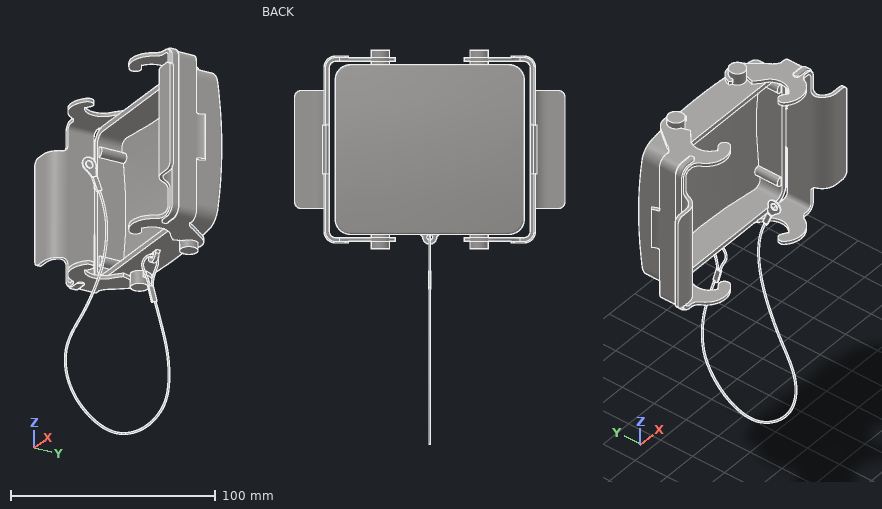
import cadquery as cq
import math


COVER_WIDTH = 92.7
COVER_HEIGHT = 83.2
COVER_DEPTH = 22.8
WALL = 2.9
BACK_THICKNESS = 3.0
CORNER_RADIUS = 7.7
CROWN_RADIUS = 264.5
BACK_EDGE_FILLET = 1.2

GUIDE_RADIUS = 2.7
GUIDE_Z = 29.5
GUIDE_SETBACK = 0.8
GUIDE_X = 43.2

PIN_DIAMETER = 9.0
PIN_RADIUS = PIN_DIAMETER / 2
PIN_X = 24.1
PIN_Y = 12.5
PIN_REACH = 48.7

EYELET_RADIUS = 3.5
EYELET_Z = -42.9
EYELET_HOLE_RADIUS = 1.4
EYELET_ROOT_HALF_WIDTH = 4.6
EYELET_Y = 5.6
EYELET_THICKNESS = 2.1

SHEET = 2.0
LEVER_X = 51.0
LEVER_Z = 45.0
BEND_RADIUS = 4.8
SHOULDER_X = 44.2
WEB_TOP_Y = 1.4
WEB_BOTTOM_Y = -13.5
BEAD_Y = -10.6
BEAD_WIDTH = 3.7
BEAD_HEIGHT = 0.8
BEAD_FILLET = 0.5
BEAD_INNER_X = 39.8
HANDLE_END_X = 66.2
HANDLE_HALF_WIDTH = 29.0
HANDLE_BEND = 8.0
HANDLE_CORNER = 3.5
HANDLE_ROOT_FILLET = 3.0
LIP_HALF_WIDTH = 12.0
LIP_ROOT_FILLET = 1.0
LIP_BEND = 7.5
LIP_ANGLE = 38.0

CORD_DIAMETER = 1.0
SLEEVE_TOP = (4.8, -59.8)
SLEEVE_BOTTOM = (7.0, -67.8)
SLEEVE_WIDTH = 2.7
SLEEVE_THICKNESS = 1.2
LUG_EYE = (-29.7, -2.1)
LUG_EYE_RADIUS = 3.9
LUG_HOLE_RADIUS = 2.0
LUG_EYE_THICKNESS = 0.5
LUG_BARREL_TOP = (-26.8, -8.1)
LUG_BARREL_BOTTOM = (-24.1, -15.0)
LUG_BARREL_WIDTH = 2.7
LUG_BARREL_THICKNESS = 1.2

CORD_PATH = [
    LUG_BARREL_BOTTOM,
    (-22.5, -19.1),
    (-20.3, -29.5),
    (-20.7, -45.5),
    (-23.7, -59.8),
    (-27.2, -69.7),
    (-33.5, -84.0),
    (-42.7, -104.8),
    (-43.2, -113.1),
    (-41.3, -122.5),
    (-29.3, -138.5),
    (-15.5, -143.8),
    (-3.9, -140.7),
    (8.0, -130.1),
    (13.7, -118.5),
    (15.3, -106.0),
    (14.0, -92.3),
    (10.5, -77.6),
    (7.5, -67.8),
    (5.8, -59.8),
    (6.0, -57.0),
    (8.1, -49.0),
    (8.9, -45.5),
    (8.1, -43.2),
    (6.5, -42.9),
    (5.0, -43.0),
    (2.3, -44.8),
    (0.4, -49.5),
    (2.5, -55.0),
    (4.2, -59.8),
    (6.0, -66.8),
]


def midpoint(a, b):
    return ((a[0] + b[0]) / 2, (a[1] + b[1]) / 2)


def yz_plane(offset_x=0.0):
    return cq.Workplane("YZ", origin=(offset_x, 0, 0))


def xz_block(width, height, depth, corner_radius):
    """Rounded rectangle in XZ, extruded from Y = 0 toward +Y."""
    block = cq.Workplane("XZ").rect(width, height).extrude(-depth)
    return block.edges("|Y").fillet(corner_radius)


def domed_block(inset, crown_inset):
    """Rounded block with a spherical back, drawn in from the cover's outer surface."""
    block = xz_block(
        COVER_WIDTH - 2 * inset,
        COVER_HEIGHT - 2 * inset,
        COVER_DEPTH,
        CORNER_RADIUS - inset,
    )
    crown_centre = (0, COVER_DEPTH - CROWN_RADIUS, 0)
    dome = cq.Workplane("XY").sphere(CROWN_RADIUS - crown_inset).translate(crown_centre)
    return block.intersect(dome)


def pin(x, z_start, z_end):
    return (
        cq.Workplane("XY", origin=(x, PIN_Y, z_start))
        .circle(PIN_RADIUS)
        .extrude(z_end - z_start)
    )


def make_eyelet():
    root_z = -COVER_HEIGHT / 2 + WALL / 2
    plane = cq.Workplane("XZ", origin=(0, EYELET_Y, 0))
    root = plane.polyline([
        (-EYELET_ROOT_HALF_WIDTH, root_z),
        (EYELET_ROOT_HALF_WIDTH, root_z),
        (EYELET_ROOT_HALF_WIDTH, -COVER_HEIGHT / 2),
        (EYELET_RADIUS, EYELET_Z),
        (-EYELET_RADIUS, EYELET_Z),
        (-EYELET_ROOT_HALF_WIDTH, -COVER_HEIGHT / 2),
    ]).close().extrude(-EYELET_THICKNESS)
    ring = plane.center(0, EYELET_Z).circle(EYELET_RADIUS).extrude(-EYELET_THICKNESS)
    return root.union(ring)


def make_cover():
    shell = domed_block(0, 0).faces("%SPHERE").edges().fillet(BACK_EDGE_FILLET)
    cavity = domed_block(WALL, BACK_THICKNESS)
    for side in (-1, 1):
        for level in (-1, 1):
            guide = (
                cq.Workplane("XZ", origin=(side * GUIDE_X, GUIDE_SETBACK, level * GUIDE_Z))
                .circle(GUIDE_RADIUS)
                .extrude(-COVER_DEPTH)
            )
            cavity = cavity.cut(guide)
    cover = shell.cut(cavity)

    pin_root = COVER_HEIGHT / 2 - WALL / 2
    for x in (-PIN_X, PIN_X):
        cover = cover.union(pin(x, pin_root, PIN_REACH))
        cover = cover.union(pin(x, -PIN_REACH, -pin_root))

    eyelet_hole = (
        cq.Workplane("XZ", origin=(0, EYELET_Y, EYELET_Z))
        .circle(EYELET_HOLE_RADIUS)
        .extrude(-EYELET_THICKNESS)
    )
    eyelet = make_eyelet().cut(eyelet_hole.cut(domed_block(0, 0)))
    return cover.union(eyelet)


def u_channel(y_low, y_high, outset=0, edge_fillet=0):
    """Bent sheet: web at +X and two side plates, grown outward by outset.

    The edges of the outer surface may be rounded with edge_fillet.
    """
    def slab(x, z, radius):
        return xz_block(2 * x, 2 * z, y_high - y_low, radius).translate((0, y_low, 0))

    outer = slab(LEVER_X + outset, LEVER_Z + outset, BEND_RADIUS + outset)
    if edge_fillet:
        outer = outer.faces("<Y or >Y").edges().fillet(edge_fillet)
    inner = slab(LEVER_X - SHEET, LEVER_Z - SHEET, BEND_RADIUS - SHEET)
    keep = cq.Workplane("XY").box(
        2 * LEVER_X, 4 * LEVER_X, 4 * LEVER_Z, centered=(False, True, True)
    )
    return outer.cut(inner).intersect(keep)


def on_pin(angle):
    """Point on the pin circle at an angle in degrees."""
    a = math.radians(angle)
    return (PIN_X + PIN_RADIUS * math.cos(a), PIN_Y + PIN_RADIUS * math.sin(a))


def lever_outline():
    """Side-plate outline: hub snapped round the pin at the top, locking hook at the bottom."""
    mouth_tip_angle = 185
    mouth_neck_angle = -70
    slot_middle_angle = (mouth_tip_angle + mouth_neck_angle) / 2
    return (
        cq.Workplane("XY", origin=(0, 0, -2 * LEVER_Z))
        .moveTo(LEVER_X, WEB_TOP_Y)
        .lineTo(SHOULDER_X, WEB_TOP_Y)
        .threePointArc((41.9, 2.9), (39.8, 5.8))
        .lineTo(32.5, 15.3)
        .threePointArc((PIN_X, 19.0), (16.8, 12.2))
        .threePointArc((18.1, 11.2), on_pin(mouth_tip_angle))
        .threePointArc(on_pin(slot_middle_angle), on_pin(mouth_neck_angle))
        .lineTo(PIN_X, 3.5)
        .lineTo(28.0, 0)
        .threePointArc((32.8, -9.0), (27.8, -16.5))
        .lineTo(25.1, -14.7)
        .threePointArc((20.5, -16.2), (21.6, -19.7))
        .threePointArc((29.0, -22.8), (40.3, -16.8))
        .threePointArc((42.0, -14.5), (SHOULDER_X, WEB_BOTTOM_Y))
        .lineTo(LEVER_X, WEB_BOTTOM_Y)
        .close()
        .extrude(4 * LEVER_Z)
    )


def make_bead():
    """Stiffening bead that runs round the bends and ends rounded on both side plates."""
    half_width = BEAD_WIDTH / 2
    bead = u_channel(BEAD_Y - half_width, BEAD_Y + half_width, BEAD_HEIGHT, BEAD_FILLET)
    length = 2 * (LEVER_X - BEAD_INNER_X)
    outline = (
        cq.Workplane("XY", origin=(0, 0, -2 * LEVER_Z))
        .center(BEAD_INNER_X + length / 2, BEAD_Y)
        .slot2D(length, BEAD_WIDTH)
        .extrude(4 * LEVER_Z)
    )
    return bead.intersect(outline)


def strip_outward(section, half_width, root_fillet):
    """Strip of the given XY section, extruded in Z with room for a root fillet on each side."""
    reach = half_width + root_fillet
    return section.extrude(reach, both=True)


def root_notches(edge_y, half_width, root_fillet, direction):
    """Material to remove beside a strip so that concave fillets join it to the web edge."""
    tangent_y = edge_y + direction * root_fillet
    arc_offset = root_fillet * (1 - math.sqrt(0.5))
    reach = half_width + root_fillet
    far_y = edge_y + direction * LEVER_X
    notch = (
        yz_plane()
        .moveTo(edge_y, reach)
        .threePointArc((edge_y + direction * arc_offset, half_width + arc_offset), (tangent_y, half_width))
        .lineTo(far_y, half_width)
        .lineTo(far_y, reach)
        .close()
        .extrude(2 * LEVER_X)
    )
    return notch.union(notch.mirror("XY"))


def make_handle():
    """Grip that curls outward from the lower edge of the web."""
    bend_x = LEVER_X - SHEET / 2 + HANDLE_BEND
    bend_y = WEB_BOTTOM_Y
    inner = HANDLE_BEND - SHEET / 2
    outer = HANDLE_BEND + SHEET / 2
    diagonal = math.sqrt(0.5)
    section = (
        cq.Workplane("XY")
        .moveTo(bend_x - outer, bend_y)
        .threePointArc((bend_x - outer * diagonal, bend_y - outer * diagonal), (bend_x, bend_y - outer))
        .lineTo(HANDLE_END_X, bend_y - outer)
        .lineTo(HANDLE_END_X, bend_y - inner)
        .lineTo(bend_x, bend_y - inner)
        .threePointArc((bend_x - inner * diagonal, bend_y - inner * diagonal), (bend_x - inner, bend_y))
        .close()
    )
    grip = strip_outward(section, HANDLE_HALF_WIDTH, HANDLE_ROOT_FILLET)
    grip = grip.cut(root_notches(WEB_BOTTOM_Y, HANDLE_HALF_WIDTH, HANDLE_ROOT_FILLET, -1))
    return grip.edges("|Y and >X").fillet(HANDLE_CORNER)


def make_lip():
    """Short tab that flares outward from the upper edge of the web."""
    bend_x = LEVER_X - SHEET / 2 + LIP_BEND

    def at(radius, angle):
        a = math.radians(angle)
        return (bend_x - radius * math.cos(a), WEB_TOP_Y + radius * math.sin(a))

    inner = LIP_BEND - SHEET / 2
    outer = LIP_BEND + SHEET / 2
    section = (
        cq.Workplane("XY")
        .moveTo(*at(outer, 0))
        .threePointArc(at(outer, LIP_ANGLE / 2), at(outer, LIP_ANGLE))
        .lineTo(*at(inner, LIP_ANGLE))
        .threePointArc(at(inner, LIP_ANGLE / 2), at(inner, 0))
        .close()
    )
    lip = strip_outward(section, LIP_HALF_WIDTH, LIP_ROOT_FILLET)
    return lip.cut(root_notches(WEB_TOP_Y, LIP_HALF_WIDTH, LIP_ROOT_FILLET, 1))


def make_lever(side):
    """Lever on the +X side (side = 1) or its mirror image on the -X side (side = -1)."""
    lever = u_channel(-2 * LEVER_X, 2 * LEVER_X).intersect(lever_outline())
    lever = lever.union(make_bead()).union(make_handle()).union(make_lip())
    return lever if side > 0 else lever.mirror("YZ")


def flat_bar(start, end, width, thickness):
    """Bar centred on X = 0 along a line between two (Y, Z) points."""
    length = math.dist(start, end)
    angle = math.degrees(math.atan2(end[1] - start[1], end[0] - start[0]))
    middle = midpoint(start, end)
    return (
        yz_plane(-thickness / 2)
        .center(*middle)
        .transformed(rotate=(0, 0, angle))
        .rect(length, width)
        .extrude(thickness)
    )


def make_cord():
    path = yz_plane().spline(CORD_PATH)
    start = path.val().positionAt(0)
    direction = path.val().tangentAt(0)
    section = cq.Workplane(cq.Plane(origin=start, xDir=(1, 0, 0), normal=direction))
    strand = section.circle(CORD_DIAMETER / 2).sweep(path)
    return strand.union(flat_bar(SLEEVE_TOP, SLEEVE_BOTTOM, SLEEVE_WIDTH, SLEEVE_THICKNESS))


def make_lug():
    plane = yz_plane(-LUG_EYE_THICKNESS / 2)
    eye = plane.center(*LUG_EYE).circle(LUG_EYE_RADIUS).extrude(LUG_EYE_THICKNESS)
    hole = plane.center(*LUG_EYE).circle(LUG_HOLE_RADIUS).extrude(LUG_EYE_THICKNESS)
    slope = math.atan2(LUG_BARREL_TOP[1] - LUG_EYE[1], LUG_BARREL_TOP[0] - LUG_EYE[0])
    across = (-math.sin(slope), math.cos(slope))

    def beside(point, offset):
        return (point[0] + across[0] * offset, point[1] + across[1] * offset)

    neck = plane.polyline([
        beside(LUG_EYE, LUG_EYE_RADIUS),
        beside(LUG_BARREL_TOP, LUG_BARREL_WIDTH / 2),
        beside(LUG_BARREL_TOP, -LUG_BARREL_WIDTH / 2),
        beside(LUG_EYE, -LUG_EYE_RADIUS),
    ]).close().extrude(LUG_EYE_THICKNESS)
    barrel = flat_bar(LUG_BARREL_TOP, LUG_BARREL_BOTTOM, LUG_BARREL_WIDTH, LUG_BARREL_THICKNESS)
    return eye.union(neck).union(barrel).cut(hole)


lug = make_lug()
cord = make_cord().cut(lug)
cover = make_cover()
levers = [make_lever(side) for side in (-1, 1)]

result = cq.Compound.makeCompound([
    cover.val(),
    *[lever.val() for lever in levers],
    cord.val(),
    lug.val(),
])